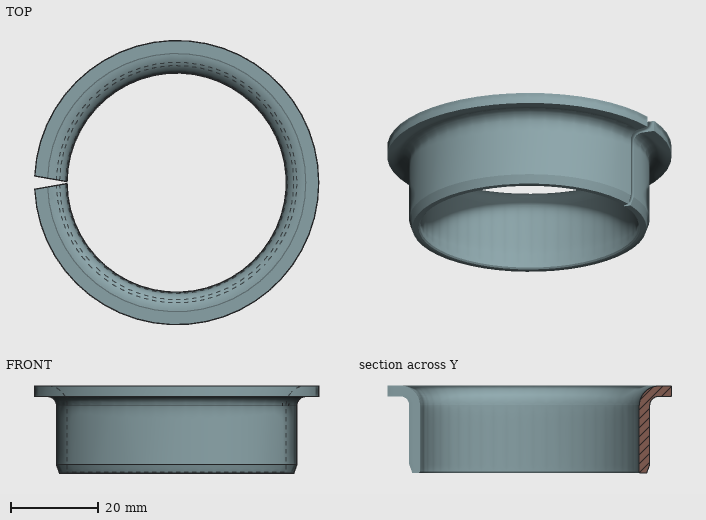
import cadquery as cq
import math

flange_radius = 32.5
bore_radius = 25.0
wall = 2.5
height = 20.0
neck_fillet = 2.0
lead_height = 2.0
lead_angle = 20.0
bore_chamfer = 0.3
gap_outer_width = 3.0
gap_bore_width = 0.4

sleeve_radius = bore_radius + wall
flange_bottom = height - wall
mouth_radius = neck_fillet + wall
lead_depth = lead_height * math.tan(math.radians(lead_angle))
diagonal = math.sqrt(0.5)


def make_bush():
    """Revolve a constant-wall sleeve that flares into a flange at the top.

    The profile lies on the -X side, so the revolve seam falls inside the gap.
    """
    bend_r = sleeve_radius + neck_fillet
    bend_z = flange_bottom - neck_fillet
    neck_middle = (neck_fillet * diagonal - bend_r, bend_z + neck_fillet * diagonal)
    mouth_middle = (mouth_radius * diagonal - bend_r, bend_z + mouth_radius * diagonal)
    profile = (
        cq.Workplane("XZ")
        .moveTo(-bore_radius, bore_chamfer)
        .lineTo(-bore_radius - bore_chamfer, 0)
        .lineTo(lead_depth - sleeve_radius, 0)
        .lineTo(-sleeve_radius, lead_height)
        .lineTo(-sleeve_radius, bend_z)
        .threePointArc(neck_middle, (-bend_r, flange_bottom))
        .lineTo(-flange_radius, flange_bottom)
        .lineTo(-flange_radius, height)
        .lineTo(-bend_r, height)
        .threePointArc(mouth_middle, (-bore_radius, bend_z))
        .close()
    )
    return profile.revolve(360, (0, 0, 0), (0, 1, 0))


def make_gap():
    """Wedge through the -X side, narrowing from the flange rim to the bore."""
    half_slope = (gap_outer_width - gap_bore_width) / 2 / (flange_radius - bore_radius)
    apex = bore_radius - gap_bore_width / 2 / half_slope
    far_end = flange_radius + wall
    far_half_width = half_slope * (far_end - apex)
    return (
        cq.Workplane("XY")
        .polyline([(-apex, 0), (-far_end, far_half_width), (-far_end, -far_half_width)])
        .close()
        .extrude(height)
    )


result = make_bush().cut(make_gap())